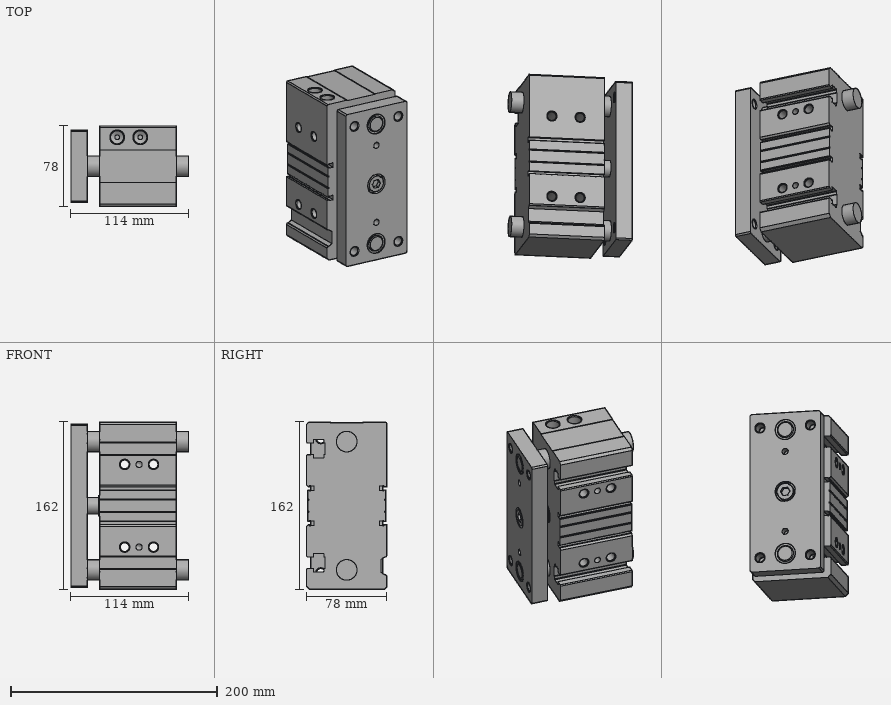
import cadquery as cq
import math


height = 162.0
width = 78.0
plate_thickness = 16.0
gap = 12.0
housing_length = 74.0
rod_overhang = 12.0
housing_front = plate_thickness + gap
housing_back = housing_front + housing_length
front_side = -width / 2
rear_side = width / 2

plate_width = 70.0
plate_height = 158.0
plate_chamfer = 1.5
plate_screw_spacing_y = 50.0
plate_screw_spacing_z = 130.0
plate_dowel_depth = 9.7

guide_diameter = 20.0
guide_z = 62.0
guide_nose_chamfer = 1.0
guide_recess_depth = 1.0
rod_diameter = 16.0
rod_recess_depth = 4.0
rod_length_in_housing = 32.4
hex_across_flats = 8.0
hex_depth = 4.0

screw_diameter = 8.5
screw_chamfer = 0.8
dowel_diameter = 6.0
drill_point_angle = 118.0
side_hole_z = 40.0
side_screw_offset = 14.0
side_hole_center_x = 66.1
side_dowel_depth = 9.7

port_x = (44.9, 67.2)
port_y = 28.0
port_diameter = 12.6
port_chamfer = 0.8
port_depth = 13.0
port_passage_diameter = 4.5
port_passage_length = 6.5

bottom_front_chamfer = 3.0
large_chamfer = 2.5
small_chamfer = 1.3
top_relief_width = 31.8
top_relief_depth = 0.5
collar_diameter = 20.0
collar_length = 1.1

slot_z = 55.0
slot_mouth = 11.0
slot_inner_width = 18.0
slot_lip = 7.0
slot_depth = 16.8
slot_recess_depth = 1.0
slot_mouth_chamfer = 1.0
slot_floor_chamfer = 0.6

band_half_height = 15.4
band_depth = 1.1
sensor_mouth = 2.9
sensor_inner_width = 4.5
sensor_lip = 2.9
sensor_depth = 7.1
sensor_block_chamfer = 1.8
band_chamfer = 0.5
mark_z = 6.0
mark_size = 1.0

groove_z = -58.2
groove_mouth = 17.0
groove_chamfer = 1.3
groove_step_depth = 2.1
groove_floor = 12.6
groove_depth = 5.7


def box(x_range, y_range, z_range):
    """Box between two limits on each axis."""
    limits = (x_range, y_range, z_range)
    sizes = [high - low for low, high in limits]
    corner = tuple(low for low, high in limits)
    return cq.Workplane("XY").box(*sizes, centered=False).translate(corner)


def x_cylinder(diameter, x_start, x_end, z=0.0):
    """Cylinder along X on the middle plane of the part."""
    disc = cq.Workplane("YZ", origin=(x_start, 0, z)).circle(diameter / 2)
    return disc.extrude(x_end - x_start)


def housing_prism(points):
    """Prism through the full housing length from an outline of (Y, Z) points."""
    return cq.Workplane("YZ", origin=(housing_front, 0, 0)).polyline(points).close().extrude(housing_length)


def slot_prism(half_outline, side, z):
    """Slot from (depth, half height) points, cut into one side (-1 or +1) and symmetric about z."""
    upper = [(side * (width / 2 - depth), z + half) for depth, half in half_outline]
    lower = [(side * (width / 2 - depth), z - half) for depth, half in reversed(half_outline)]
    return housing_prism(upper + lower)


def revolved_tool(profile, end_depth, position, direction):
    """Round cutter from (radius, depth) points, entering at position and ending on its axis at end_depth."""
    tool = cq.Workplane("XZ").polyline([(0, 0), *profile, (0, end_depth)]).close().revolve(360, (0, 0), (0, 1))
    plane = cq.Plane(origin=position, normal=direction)
    return cq.Workplane(obj=tool.val().moved(cq.Location(plane)))


def cone_height(large_diameter, small_diameter):
    """Height of a drill point between two diameters."""
    return (large_diameter - small_diameter) / 2 / math.tan(math.radians(drill_point_angle / 2))


def dowel_tool(depth, position, direction):
    """Blind dowel hole with a drill-point bottom."""
    radius = dowel_diameter / 2
    tip_depth = depth + cone_height(dowel_diameter, 0)
    return revolved_tool([(radius, 0), (radius, depth)], tip_depth, position, direction)


def screw_tool(length, position, direction):
    """Through hole with a chamfer at each end."""
    radius = screw_diameter / 2
    wide = radius + screw_chamfer
    profile = [(wide, 0), (radius, screw_chamfer), (radius, length - screw_chamfer), (wide, length)]
    return revolved_tool(profile, length, position, direction)


def port_tool(x):
    """Chamfered port with a conical bottom and a narrow passage below it."""
    radius = port_diameter / 2
    passage = port_passage_diameter / 2
    cone_end = port_depth + cone_height(port_diameter, port_passage_diameter)
    passage_end = cone_end + port_passage_length
    profile = [
        (radius + port_chamfer, 0),
        (radius, port_chamfer),
        (radius, port_depth),
        (passage, cone_end),
        (passage, passage_end),
    ]
    return revolved_tool(profile, passage_end, (x, port_y, height / 2), (0, 0, -1))


def housing_blank():
    """Block with chamfered long edges: small at the top rear, largest at the bottom front."""
    y = width / 2
    z = height / 2
    big = large_chamfer
    small = small_chamfer
    bottom_front = bottom_front_chamfer
    return housing_prism([
        (-y + bottom_front, -z), (y - big, -z), (y, -z + big), (y, z - small),
        (y - small, z), (-y + big, z), (-y, z - big), (-y, -z + bottom_front),
    ])


def t_slot(z):
    """Front T-slot with chamfered mouth and a shallow recess in its floor."""
    mouth = slot_mouth / 2
    inner = slot_inner_width / 2
    return slot_prism([
        (0, mouth + slot_mouth_chamfer), (slot_mouth_chamfer, mouth), (slot_lip, mouth),
        (slot_lip, inner), (slot_depth - slot_floor_chamfer, inner),
        (slot_depth, inner - slot_floor_chamfer), (slot_depth, mouth),
        (slot_depth + slot_recess_depth, mouth),
    ], -1, z)


def sensor_slot(side, z):
    """Narrow slot, wider behind its lip, beside the centre band."""
    mouth = sensor_mouth / 2
    inner = sensor_inner_width / 2
    return slot_prism([
        (0, mouth), (sensor_lip, mouth), (sensor_lip, inner), (sensor_depth, inner),
    ], side, z)


def front_edge_wedge(y_face, z_edge, z_direction, size):
    """Wedge that chamfers a front edge of a block lying on the z_direction side of the edge."""
    return housing_prism([
        (y_face, z_edge), (y_face + size, z_edge), (y_face, z_edge + z_direction * size),
    ])


def rear_groove():
    """Tapered groove low on the rear side."""
    mouth = groove_mouth / 2
    return slot_prism([
        (0, mouth + groove_chamfer), (groove_chamfer, mouth),
        (groove_step_depth, mouth), (groove_depth, groove_floor / 2),
    ], 1, groove_z)


def make_housing():
    body = housing_blank()
    x_range = (housing_front, housing_back)
    half_relief = top_relief_width / 2
    body = body.cut(box(x_range, (-half_relief, half_relief), (height / 2 - top_relief_depth, height / 2)))

    band_z = (-band_half_height, band_half_height)
    body = body.cut(box(x_range, (front_side, front_side + band_depth), band_z))
    body = body.cut(box(x_range, (rear_side - band_depth, rear_side), band_z))
    for direction in (-1, 1):
        body = body.cut(t_slot(direction * slot_z))
        block_edge_z = direction * (band_half_height + sensor_mouth)
        band_edge_z = direction * band_half_height
        body = body.cut(front_edge_wedge(front_side, block_edge_z, direction, sensor_block_chamfer))
        body = body.cut(front_edge_wedge(front_side + band_depth, band_edge_z, -direction, band_chamfer))
        for side in (-1, 1):
            body = body.cut(sensor_slot(side, direction * (band_half_height + sensor_mouth / 2)))
            mark_outline = [(band_depth, mark_size / 2), (band_depth + mark_size, mark_size / 2)]
            body = body.cut(slot_prism(mark_outline, side, direction * mark_z))
    body = body.cut(rear_groove())

    for direction in (-1, 1):
        z = direction * side_hole_z
        for offset in (-side_screw_offset, side_screw_offset):
            start = (side_hole_center_x + offset, front_side, z)
            body = body.cut(screw_tool(width, start, (0, 1, 0)))
        body = body.cut(dowel_tool(side_dowel_depth, (side_hole_center_x, front_side, z), (0, 1, 0)))
    for x in port_x:
        body = body.cut(port_tool(x))

    body = body.union(x_cylinder(collar_diameter, housing_front - collar_length, housing_front))
    body = body.cut(x_cylinder(rod_diameter, 0, housing_front + rod_length_in_housing))
    for z in (-guide_z, guide_z):
        body = body.cut(x_cylinder(guide_diameter, housing_front, housing_back, z))
    return body


def make_plate():
    plate = box(
        (0, plate_thickness),
        (-plate_width / 2, plate_width / 2),
        (-plate_height / 2, plate_height / 2),
    ).edges("|X").chamfer(plate_chamfer)
    for z, recess in ((-guide_z, guide_recess_depth), (0, rod_recess_depth), (guide_z, guide_recess_depth)):
        plate = plate.cut(x_cylinder(rod_diameter, 0, plate_thickness, z))
        plate = plate.cut(x_cylinder(guide_diameter, 0, recess, z))
    for z_sign in (-1, 1):
        plate = plate.cut(dowel_tool(plate_dowel_depth, (0, 0, z_sign * side_hole_z), (1, 0, 0)))
        for y_sign in (-1, 1):
            start = (0, y_sign * plate_screw_spacing_y / 2, z_sign * plate_screw_spacing_z / 2)
            plate = plate.cut(screw_tool(plate_thickness, start, (1, 0, 0)))
    return plate


def make_guide_rod(z):
    """Guide rod whose narrower, chamfered nose passes through the plate."""
    nose = x_cylinder(rod_diameter, 0, plate_thickness, z).faces("<X").chamfer(guide_nose_chamfer)
    shaft = x_cylinder(guide_diameter, plate_thickness, housing_back + rod_overhang, z)
    return nose.union(shaft)


def make_piston_rod():
    """Piston rod, flush with the plate front, with a hexagon socket in its end."""
    rod = x_cylinder(rod_diameter, 0, housing_front + rod_length_in_housing)
    hex_across_corners = hex_across_flats / math.cos(math.radians(30))
    socket = cq.Workplane("YZ").polygon(6, hex_across_corners).extrude(hex_depth)
    return rod.cut(socket)


housing = make_housing()
plate = make_plate()
piston_rod = make_piston_rod()
guide_rods = [make_guide_rod(z) for z in (-guide_z, guide_z)]

result = cq.Compound.makeCompound([
    housing.val(),
    plate.val(),
    piston_rod.val(),
    *[rod.val() for rod in guide_rods],
])